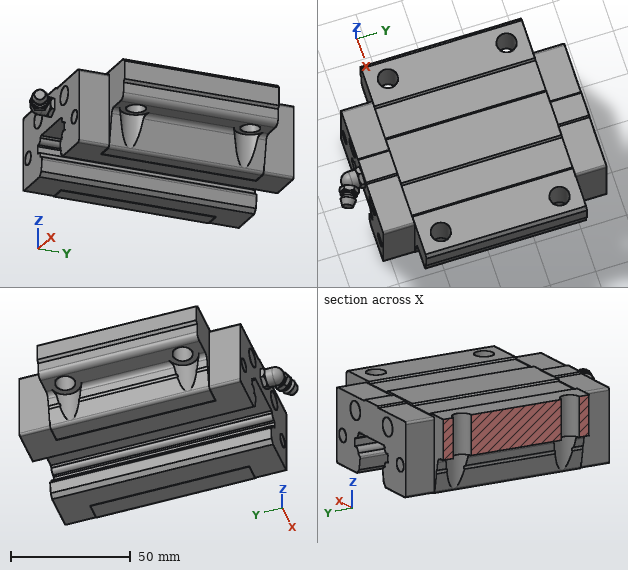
import cadquery as cq
import math

BLOCK_WIDTH = 90.0
BLOCK_LENGTH = 70.5
BLOCK_HEIGHT = 34.5
CAP_LENGTH = 13.7
CAP_WIDTH = 58.0
HALF_BLOCK = BLOCK_WIDTH / 2
HALF_CAP = CAP_WIDTH / 2
CAP_FACE_Y = -(BLOCK_LENGTH / 2 + CAP_LENGTH)

FLANGE_BOTTOM = 16.5
FLANGE_CHAMFER = 1.4
FLANGE_STEP_TOP = 24.9
FLANGE_STEP_BOTTOM = 23.7
FLANGE_STEP_INSET = 1.1
FLANGE_ROUND = 2.9
BODY_HALF_TOP = 32.1
BODY_HALF_BOTTOM = 29.0
BODY_TO_FLANGE_ROUND = 2.4
BODY_BOTTOM_ROUND = 1.5
FOOT_INNER_X = 21.0
FOOT_HEIGHT = 0.3

TROUGH_INNER_X = 10.7
TROUGH_OUTER_X = 25.5
TROUGH_DEPTH = 0.8
TROUGH_SLOPE = 0.4

HOLE_DIAMETER = 8.5
HOLE_SPACING_X = 72.0
HOLE_SPACING_Y = 52.0
CLEARANCE_DIAMETER = 13.6

GROOVE_Z = 9.9
GROOVE_RADIUS = 1.1
GROOVE_DEPTH = 0.3

CAP_BOTTOM = FOOT_HEIGHT
CAP_TOP = 33.5
CAP_ROUND = 1.0
RIB_HEIGHT = 0.7
RIB_HALF_TOP = 5.3
RIB_HALF_BOTTOM = 5.9

RECESS_DEPTH = 0.1
UPPER_RECESS_DIAMETER = 8.2
UPPER_RECESS_X = 13.5
LOWER_RECESS_DIAMETER = 5.9
LOWER_RECESS_X = 24.0

CEILING_Z = 18.5
CEILING_HALF = 10.3
THROAT_HALF = 11.1
THROAT_TOP = 17.7
RACEWAY_Z = 13.5
RACEWAY_HALF_HEIGHT = 1.9
RACEWAY_HALF_WIDTH = 13.8
RACEWAY_LIP_ROUND = 2.1
RACEWAY_CHAMFER = 0.5
THROAT_BOTTOM = 9.2
LIP_HALF = 9.3
LIP_TOP = 7.9
LIP_ROUND = 0.9
MOUTH_HALF_TOP = 10.2
MOUTH_TOP = 2.2
MOUTH_HALF_BOTTOM = 12.0

FITTING_Z = 27.2
BASE_FLATS = 7.9
BASE_LENGTH = 2.0
ELBOW_DIAMETER = BASE_FLATS
ELBOW_CENTRE = 5.2
NIPPLE_ANGLE = 23.5
NUT_START = 3.4
NUT_END = 5.6
COLLAR_END = 6.4
HEAD_START = 7.2
HEAD_WIDEST = 8.6
NIPPLE_END = 11.5
NUT_FLATS = 7.1
COLLAR_RADIUS = NUT_FLATS / 2
WAIST_RADIUS = 2.6
HEAD_RADIUS = 3.3
TIP_RADIUS = 2.3


def round_lengthwise_edge(solid, x, z, radius):
    """Fillet the edge along Y through (x, 0, z)."""
    return solid.edges(cq.selectors.NearestToPointSelector((x, 0, z))).fillet(radius)


def with_mirror(half):
    """Join a +X half with its mirror image."""
    return half.union(half.mirror("YZ"))


def block_body():
    step_x = HALF_BLOCK - FLANGE_STEP_INSET
    trough_z = BLOCK_HEIGHT - TROUGH_DEPTH
    half = (
        cq.Workplane("XZ")
        .moveTo(0, BLOCK_HEIGHT)
        .lineTo(TROUGH_INNER_X - TROUGH_SLOPE, BLOCK_HEIGHT)
        .lineTo(TROUGH_INNER_X + TROUGH_SLOPE, trough_z)
        .lineTo(TROUGH_OUTER_X - TROUGH_SLOPE, trough_z)
        .lineTo(TROUGH_OUTER_X + TROUGH_SLOPE, BLOCK_HEIGHT)
        .lineTo(HALF_BLOCK - FLANGE_CHAMFER, BLOCK_HEIGHT)
        .lineTo(HALF_BLOCK, BLOCK_HEIGHT - FLANGE_CHAMFER)
        .lineTo(HALF_BLOCK, FLANGE_STEP_TOP)
        .lineTo(step_x, FLANGE_STEP_BOTTOM)
        .lineTo(step_x, FLANGE_BOTTOM)
        .lineTo(BODY_HALF_TOP, FLANGE_BOTTOM)
        .lineTo(BODY_HALF_BOTTOM, 0)
        .lineTo(FOOT_INNER_X, 0)
        .lineTo(FOOT_INNER_X, FOOT_HEIGHT)
        .lineTo(0, FOOT_HEIGHT)
        .close()
        .extrude(BLOCK_LENGTH / 2, both=True)
    )
    half = round_lengthwise_edge(half, step_x, FLANGE_BOTTOM, FLANGE_ROUND)
    half = round_lengthwise_edge(half, BODY_HALF_TOP, FLANGE_BOTTOM, BODY_TO_FLANGE_ROUND)
    half = round_lengthwise_edge(half, BODY_HALF_BOTTOM, 0, BODY_BOTTOM_ROUND)
    return with_mirror(half)


def flange_holes():
    """Bolt holes through the flanges, widened below the flanges to clear the bolt heads."""
    centres = cq.Workplane("XY").rarray(HOLE_SPACING_X, HOLE_SPACING_Y, 2, 2)
    holes = centres.circle(HOLE_DIAMETER / 2).extrude(BLOCK_HEIGHT)
    clearances = centres.circle(CLEARANCE_DIAMETER / 2).extrude(FLANGE_BOTTOM)
    return holes.union(clearances)


def reference_groove():
    taper = (BODY_HALF_TOP - BODY_HALF_BOTTOM) / FLANGE_BOTTOM
    wall_x = BODY_HALF_BOTTOM + taper * GROOVE_Z
    return (
        cq.Workplane("XZ")
        .center(-(wall_x + GROOVE_RADIUS - GROOVE_DEPTH), GROOVE_Z)
        .circle(GROOVE_RADIUS)
        .extrude(BLOCK_LENGTH / 2, both=True)
    )


def end_caps():
    """Both end caps as one bar running through the block."""
    half_length = BLOCK_LENGTH / 2 + CAP_LENGTH
    half = (
        cq.Workplane("XZ")
        .moveTo(0, CAP_TOP + RIB_HEIGHT)
        .lineTo(RIB_HALF_TOP, CAP_TOP + RIB_HEIGHT)
        .lineTo(RIB_HALF_BOTTOM, CAP_TOP)
        .lineTo(HALF_CAP, CAP_TOP)
        .lineTo(HALF_CAP, CAP_BOTTOM)
        .lineTo(0, CAP_BOTTOM)
        .close()
        .extrude(half_length, both=True)
    )
    half = round_lengthwise_edge(half, HALF_CAP, CAP_TOP, CAP_ROUND)
    half = round_lengthwise_edge(half, HALF_CAP, CAP_BOTTOM, CAP_ROUND)
    gap = cq.Workplane("XY").box(BLOCK_WIDTH, BLOCK_LENGTH, 2 * BLOCK_HEIGHT)
    return with_mirror(half).cut(gap)


def cap_recesses():
    """Recesses in the -Y cap face and their copies in the +Y cap face."""
    face = cq.Workplane("XZ", origin=(0, CAP_FACE_Y, 0))
    upper_points = [(side * UPPER_RECESS_X, FITTING_Z) for side in (-1, 1)]
    lower_points = [(side * LOWER_RECESS_X, RACEWAY_Z) for side in (-1, 1)]
    upper = face.pushPoints(upper_points).circle(UPPER_RECESS_DIAMETER / 2).extrude(-RECESS_DEPTH)
    lower = face.pushPoints(lower_points).circle(LOWER_RECESS_DIAMETER / 2).extrude(-RECESS_DEPTH)
    recesses = upper.union(lower)
    return recesses.union(recesses.mirror("XZ"))


def rail_channel():
    top = RACEWAY_Z + RACEWAY_HALF_HEIGHT
    bottom = RACEWAY_Z - RACEWAY_HALF_HEIGHT
    half = (
        cq.Workplane("XZ")
        .moveTo(0, CEILING_Z)
        .lineTo(CEILING_HALF, CEILING_Z)
        .lineTo(THROAT_HALF, THROAT_TOP)
        .lineTo(THROAT_HALF, top)
        .lineTo(RACEWAY_HALF_WIDTH - RACEWAY_CHAMFER, top)
        .lineTo(RACEWAY_HALF_WIDTH, top - RACEWAY_CHAMFER)
        .lineTo(RACEWAY_HALF_WIDTH, bottom)
        .lineTo(THROAT_HALF, bottom)
        .lineTo(THROAT_HALF, THROAT_BOTTOM)
        .lineTo(LIP_HALF, LIP_TOP)
        .lineTo(MOUTH_HALF_TOP, MOUTH_TOP)
        .lineTo(MOUTH_HALF_BOTTOM, CAP_BOTTOM)
        .lineTo(0, CAP_BOTTOM)
        .close()
        .extrude(BLOCK_LENGTH / 2 + CAP_LENGTH, both=True)
    )
    for z in (top, bottom):
        half = round_lengthwise_edge(half, THROAT_HALF, z, RACEWAY_LIP_ROUND)
    half = round_lengthwise_edge(half, LIP_HALF, LIP_TOP, LIP_ROUND)
    return with_mirror(half)


def make_carriage():
    block = block_body().cut(flange_holes()).cut(reference_groove())
    return block.union(end_caps()).cut(rail_channel()).cut(cap_recesses())


def hexagon(flats, length):
    """Hexagonal bar along +Z with two corners on the X axis and its far corners turned off."""
    corner_diameter = flats / math.cos(math.pi / 6)
    corner_height = (corner_diameter - flats) / 2
    bar = cq.Workplane("XY").polygon(6, corner_diameter).extrude(length)
    turned_blank = cq.Workplane("XY").circle(corner_diameter / 2).extrude(length)
    return bar.intersect(turned_blank.faces(">Z").chamfer(corner_height))


def make_nipple():
    """Nipple along +Z, measured from the elbow centre."""
    stem = (
        cq.Workplane("XZ")
        .moveTo(0, 0)
        .lineTo(WAIST_RADIUS, 0)
        .lineTo(WAIST_RADIUS, NUT_END)
        .lineTo(COLLAR_RADIUS, NUT_END)
        .lineTo(COLLAR_RADIUS, COLLAR_END)
        .lineTo(WAIST_RADIUS, COLLAR_END)
        .lineTo(WAIST_RADIUS, HEAD_START)
        .lineTo(HEAD_RADIUS, HEAD_WIDEST)
        .lineTo(TIP_RADIUS, NIPPLE_END)
        .lineTo(0, NIPPLE_END)
        .close()
        .revolve(360, (0, 0), (0, 1))
    )
    nut = hexagon(NUT_FLATS, NUT_END - NUT_START).translate((0, 0, NUT_START))
    return stem.union(nut)


def make_fitting():
    """Fitting built along +Z from its base, then laid down to point along -Y."""
    base = hexagon(BASE_FLATS, BASE_LENGTH).rotate((0, 0, 0), (0, 0, 1), 90)
    elbow = cq.Workplane("XY").circle(ELBOW_DIAMETER / 2).extrude(ELBOW_CENTRE)
    ball = cq.Workplane("XY").sphere(ELBOW_DIAMETER / 2).translate((0, 0, ELBOW_CENTRE))
    nipple = make_nipple().rotate((0, 0, 0), (0, 1, 0), 90 - NIPPLE_ANGLE)
    fitting = base.union(elbow).union(ball).union(nipple.translate((0, 0, ELBOW_CENTRE)))
    return fitting.rotate((0, 0, 0), (1, 0, 0), 90).translate((0, CAP_FACE_Y, FITTING_Z))


carriage = make_carriage()
grease_fitting = make_fitting()
result = cq.Compound.makeCompound([carriage.solids().val(), grease_fitting.solids().val()])